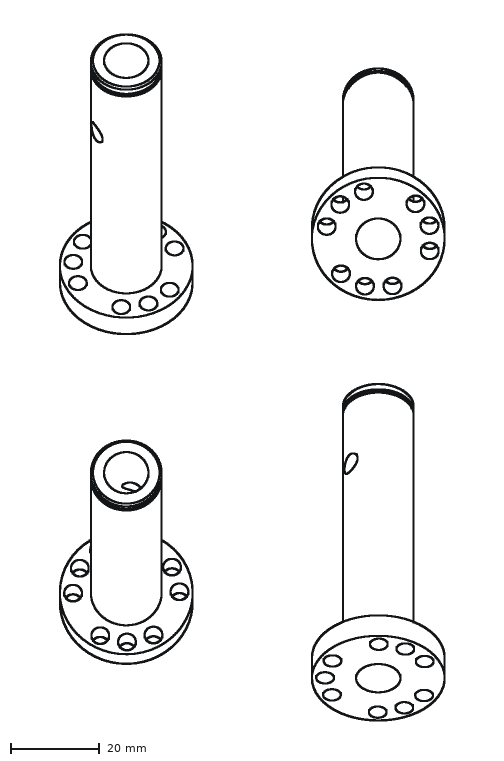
import cadquery as cq

total_height = 80.0
flange_diameter = 30.0
flange_thickness = 6.0
tube_diameter = 16.0
bore_diameter = 10.0

rim_chamfer = 0.5
rim_height = 2.0
groove_width = 1.0
groove_depth = 0.4

flange_hole_diameter = 4.0
flange_hole_circle_radius = 12.0
flange_hole_positions = 12
empty_positions = (2, 6, 10)

cross_hole_diameter = 5.0
cross_hole_offset = 0.7
cross_hole_below_top = 21.0


def make_body():
    """Flange and tube with a chamfered rim."""
    flange = cq.Workplane("XY").circle(flange_diameter / 2).extrude(flange_thickness)
    tube = cq.Workplane("XY").circle(tube_diameter / 2).extrude(total_height)
    return flange.union(tube.faces(">Z").chamfer(rim_chamfer))


def make_groove():
    """Ring of material removed just below the rim."""
    return (
        cq.Workplane("XY", origin=(0, 0, total_height - rim_height - groove_width))
        .circle(tube_diameter / 2 + groove_depth)
        .circle(tube_diameter / 2 - groove_depth)
        .extrude(groove_width)
    )


def make_flange_holes():
    """Cutters for the flange holes, starting on the +X axis."""
    step = 360 / flange_hole_positions
    holes = cq.Workplane("XY")
    for position in range(flange_hole_positions):
        if position not in empty_positions:
            hole = (
                cq.Workplane("XY")
                .center(flange_hole_circle_radius, 0)
                .circle(flange_hole_diameter / 2)
                .extrude(flange_thickness)
                .rotate((0, 0, 0), (0, 0, 1), position * step)
            )
            holes = holes.add(hole)
    return holes.combine()


def make_cross_hole():
    """Cutter from the bore out through the -Y side of the tube."""
    return (
        cq.Workplane("XZ")
        .center(cross_hole_offset, total_height - cross_hole_below_top)
        .circle(cross_hole_diameter / 2)
        .extrude(tube_diameter)
    )


bore = cq.Workplane("XY").circle(bore_diameter / 2).extrude(total_height)

result = make_body().cut(bore).cut(make_groove()).cut(make_flange_holes()).cut(make_cross_hole())